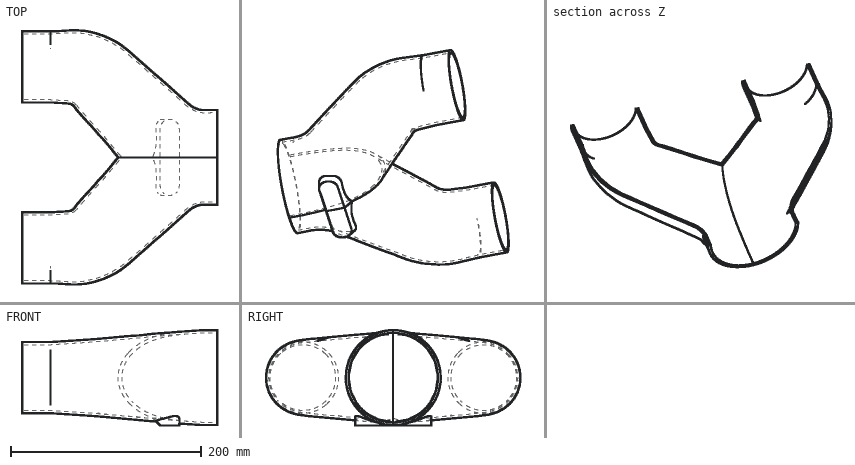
import cadquery as cq
import math

wall = 3.0

inlet_radius = 75.0 / 2
inlet_length = 30.0
inlet_offset = 95.0

outlet_radius = 100.0 / 2
total_length = 205.0
outlet_start = 190.0
outlet_tilt = 5.0

arm_angle = 45.0
inlet_bend_x = 50.0
inlet_bend_radius = 50.0
straight_steps = 3
bend_steps = 6

foot_length = 80.0
foot_width = 20.0
foot_centre_x = 155.0
foot_drop = 0.5
foot_height = 12.0
foot_lean = 45.0
foot_bottom = -outlet_radius - foot_drop


def heading(angle):
    """Unit direction of the centreline, turned by the angle towards -Y."""
    return cq.Vector(math.cos(math.radians(angle)), -math.sin(math.radians(angle)), 0)


def left_of(angle):
    """Unit direction square to the heading, pointing to its left (towards +Y)."""
    return cq.Vector(math.sin(math.radians(angle)), math.cos(math.radians(angle)), 0)


def bend_point(start, start_angle, end_angle, radius):
    """Point reached from start along an arc that turns between two headings."""
    side = 1 if end_angle < start_angle else -1
    centre = start + left_of(start_angle) * (side * radius)
    return centre - left_of(end_angle) * (side * radius)


inlet_end = cq.Vector(inlet_length, inlet_offset, 0)
inlet_bend_start = cq.Vector(inlet_bend_x, inlet_offset, 0)
inlet_bend_end = bend_point(inlet_bend_start, 0, arm_angle, inlet_bend_radius)
outlet_joint = cq.Vector(outlet_start, 0, 0)
outlet_end = cq.Vector(total_length, 0, 0)

sloping_gap = (outlet_joint - inlet_bend_end).dot(left_of(arm_angle))
outlet_bend_radius = sloping_gap / (1 - math.cos(math.radians(arm_angle - outlet_tilt)))
outlet_bend_start = outlet_joint - bend_point(cq.Vector(), arm_angle, outlet_tilt, outlet_bend_radius)

lead_in_length = inlet_bend_x - inlet_length
inlet_bend_length = inlet_bend_radius * math.radians(arm_angle)
sloping_length = (outlet_bend_start - inlet_bend_end).Length
outlet_bend_length = outlet_bend_radius * math.radians(arm_angle - outlet_tilt)
arm_length = lead_in_length + inlet_bend_length + sloping_length + outlet_bend_length


def arm_stations():
    """Distance along the arm, centre and heading angle of each cross-section of the arm."""
    stations = []
    for step in range(straight_steps):
        share = step / straight_steps
        centre = inlet_end + (inlet_bend_start - inlet_end) * share
        stations.append((lead_in_length * share, centre, 0))
    distance = lead_in_length
    for step in range(bend_steps):
        share = step / bend_steps
        angle = arm_angle * share
        centre = bend_point(inlet_bend_start, 0, angle, inlet_bend_radius)
        stations.append((distance + inlet_bend_length * share, centre, angle))
    distance += inlet_bend_length
    for step in range(straight_steps):
        share = step / straight_steps
        centre = inlet_bend_end + (outlet_bend_start - inlet_bend_end) * share
        stations.append((distance + sloping_length * share, centre, arm_angle))
    distance += sloping_length
    for step in range(bend_steps + 1):
        share = step / bend_steps
        angle = arm_angle + (outlet_tilt - arm_angle) * share
        centre = bend_point(outlet_bend_start, arm_angle, angle, outlet_bend_radius)
        stations.append((distance + outlet_bend_length * share, centre, angle))
    return stations


def section(radius, centre, angle, seam):
    """Circle square to the centreline, starting on the side that seam points to."""
    plane = cq.Plane(origin=centre.toTuple(), xDir=seam, normal=heading(angle).toTuple())
    return cq.Workplane(plane).circle(radius).wires().val()


def pipe(inset, seam):
    """Inlet, tapering arm and outlet as one solid, with its radius reduced by the inset."""
    small = inlet_radius - inset
    large = outlet_radius - inset
    inlet = cq.Workplane("YZ").center(inlet_offset, 0).circle(small).extrude(inlet_length)
    sections = [
        section(small + (large - small) * distance / arm_length, centre, angle, seam)
        for distance, centre, angle in arm_stations()
    ]
    arm = cq.Workplane(cq.Solid.makeLoft(sections))
    outlet_sections = [sections[-1], section(large, outlet_end, 0, seam)]
    outlet = cq.Workplane(cq.Solid.makeLoft(outlet_sections, True))
    return inlet.union(arm, glue=True).union(outlet, glue=True)


def foot():
    """Slot-shaped foot whose inlet side leans outwards as it rises to the pipe."""
    slot = cq.Workplane("XY", origin=(foot_centre_x, 0, foot_bottom)).slot2D(foot_length, foot_width, 90)
    upright = slot.extrude(foot_height)
    lean_shift = foot_height * math.tan(math.radians(foot_lean))
    lean_path = cq.Vector(-lean_shift, 0, foot_height)
    leaning = cq.Workplane(cq.Solid.extrudeLinear(slot.val(), [], lean_path))
    bridge = (
        cq.Workplane("XZ", origin=(0, foot_length / 2, 0))
        .moveTo(foot_centre_x, foot_bottom)
        .line(0, foot_height)
        .line(-lean_shift, 0)
        .close()
        .extrude(foot_length)
    )
    return upright.union(leaning).union(bridge)


def half():
    """The half of the fitting on the +Y side."""
    outside = pipe(0, (0, 0, -1)).union(foot())
    bore = pipe(wall, (0, 0, 1))
    keep_size = 2 * total_length
    keep = cq.Workplane("XY").box(keep_size, keep_size, keep_size, centered=(True, False, True))
    return outside.cut(bore).intersect(keep)


left_half = half()
right_half = left_half.mirror("XZ")
result = cq.Compound.makeCompound([left_half.val(), right_half.val()])